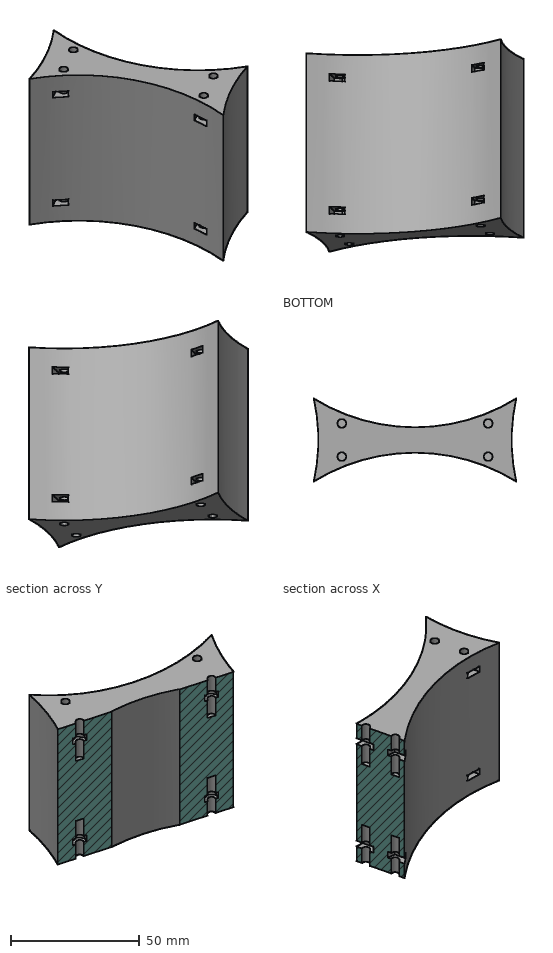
import cadquery as cq
import math

length = 79.0
depth = 32.5
height = 72.0
scoop_radius = 75.05

hole_diameter = 3.4
hole_depth = 20.0
hole_x = 28.5
hole_y = 6.5
nut_across_flats = 5.7
nut_corner_radius = nut_across_flats / math.sqrt(3)
nut_slot_height = 2.85
nut_slot_inset = 9.25


def sagitta(chord):
    """Depth of a scoop that spans the given chord."""
    return scoop_radius - math.sqrt(scoop_radius**2 - (chord / 2) ** 2)


def make_block():
    """Upright block whose four sides are scooped inward, centred on the origin."""
    half_length = length / 2
    half_depth = depth / 2
    waist_x = half_length - sagitta(depth)
    waist_y = half_depth - sagitta(length)
    return (
        cq.Workplane("XY")
        .workplane(offset=-height / 2)
        .moveTo(-half_length, -half_depth)
        .threePointArc((0, -waist_y), (half_length, -half_depth))
        .threePointArc((waist_x, 0), (half_length, half_depth))
        .threePointArc((0, waist_y), (-half_length, half_depth))
        .threePointArc((-waist_x, 0), (-half_length, -half_depth))
        .close()
        .extrude(height)
    )


def make_nut_trap(x, side, z):
    """Slot that opens on the -Y (side = -1) or +Y (side = 1) face and ends in a
    pointed half hexagon around the screw hole."""
    half_width = nut_across_flats / 2
    center_y = side * hole_y
    shoulder_y = center_y - side * nut_corner_radius / 2
    tip_y = center_y - side * nut_corner_radius
    mouth_y = side * depth / 2
    return (
        cq.Workplane("XY")
        .workplane(offset=z - nut_slot_height / 2)
        .moveTo(x - half_width, mouth_y)
        .lineTo(x - half_width, shoulder_y)
        .lineTo(x, tip_y)
        .lineTo(x + half_width, shoulder_y)
        .lineTo(x + half_width, mouth_y)
        .close()
        .extrude(nut_slot_height)
    )


result = make_block()

hole_centers = [(x, y) for x in (-hole_x, hole_x) for y in (-hole_y, hole_y)]
for end in (">Z", "<Z"):
    result = (
        result.faces(end)
        .workplane(origin=(0, 0, 0))
        .pushPoints(hole_centers)
        .hole(hole_diameter, hole_depth)
    )

nut_slot_z = height / 2 - nut_slot_inset
for x in (-hole_x, hole_x):
    for side in (-1, 1):
        for z in (-nut_slot_z, nut_slot_z):
            result = result.cut(make_nut_trap(x, side, z))